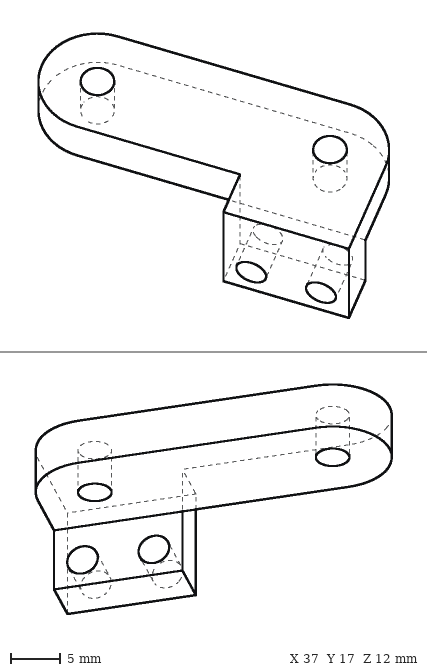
import cadquery as cq

length = 37.0
end_radius = 6.0
thickness = 5.0
height = 12.0
flange_width = 13.5
arm_hole_diameter = 3.4
flange_hole_diameter = 3.22
flange_hole_spacing = 7.5
flange_hole_height = 3.0

arm_bottom = height - thickness
left_center = end_radius
right_center = length - end_radius
flange_left = length - flange_width
flange_center = length - flange_width / 2
flange_back = -end_radius
flange_front = flange_back - thickness


def make_arm():
    """Flat arm with a full round left end and a rounded back right corner."""
    return (
        cq.Workplane("XY", origin=(0, 0, arm_bottom))
        .moveTo(left_center, -end_radius)
        .lineTo(length, -end_radius)
        .lineTo(length, 0)
        .radiusArc((right_center, end_radius), -end_radius)
        .lineTo(left_center, end_radius)
        .threePointArc((0, 0), (left_center, -end_radius))
        .close()
        .extrude(thickness)
    )


def make_flange():
    """Upright block on the front right of the arm, reaching below it."""
    return cq.Workplane("XY").box(flange_width, thickness, height, centered=False).translate(
        (flange_left, flange_front, 0)
    )


def make_arm_holes():
    """Vertical through holes at the centres of the two rounded ends."""
    return (
        cq.Workplane("XY", origin=(0, 0, arm_bottom))
        .pushPoints([(left_center, 0), (right_center, 0)])
        .circle(arm_hole_diameter / 2)
        .extrude(thickness)
    )


def make_flange_holes():
    """Pair of horizontal holes passing through the flange along Y."""
    return (
        cq.Workplane("XZ", origin=(flange_center, flange_back, flange_hole_height))
        .pushPoints([(-flange_hole_spacing / 2, 0), (flange_hole_spacing / 2, 0)])
        .circle(flange_hole_diameter / 2)
        .extrude(thickness)
    )


result = make_arm().union(make_flange()).cut(make_arm_holes()).cut(make_flange_holes())